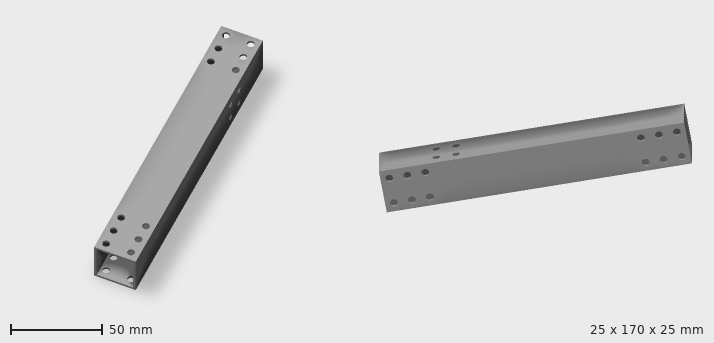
import cadquery as cq

length = 170.0
width = 25.0
wall = 1.5

end_hole_diameter = 4.2
end_hole_rows = 3
end_hole_pitch = 10.0
end_hole_spacing = 15.0
end_hole_margin = 5.0

side_hole_diameter = 4.0
side_hole_pitch = 11.0
side_hole_margin = 32.0


def square_tube():
    outer = cq.Workplane("XY").box(width, length, width)
    bore_width = width - 2 * wall
    return outer.cut(cq.Workplane("XY").box(bore_width, length, bore_width))


def end_holes(end):
    """Vertical drills for one end: end is +1 for +Y and -1 for -Y."""
    group_length = (end_hole_rows - 1) * end_hole_pitch
    group_center = end * (length / 2 - end_hole_margin - group_length / 2)
    return (
        cq.Workplane("XY")
        .center(0, group_center)
        .rarray(end_hole_spacing, end_hole_pitch, 2, end_hole_rows)
        .circle(end_hole_diameter / 2)
        .extrude(width, both=True)
    )


def side_holes():
    group_center = length / 2 - side_hole_margin - side_hole_pitch / 2
    return (
        cq.Workplane("YZ")
        .center(group_center, 0)
        .rarray(side_hole_pitch, side_hole_pitch, 2, 2)
        .circle(side_hole_diameter / 2)
        .extrude(width, both=True)
    )


tube = square_tube()
for end in (1, -1):
    tube = tube.cut(end_holes(end))
result = tube.cut(side_holes())